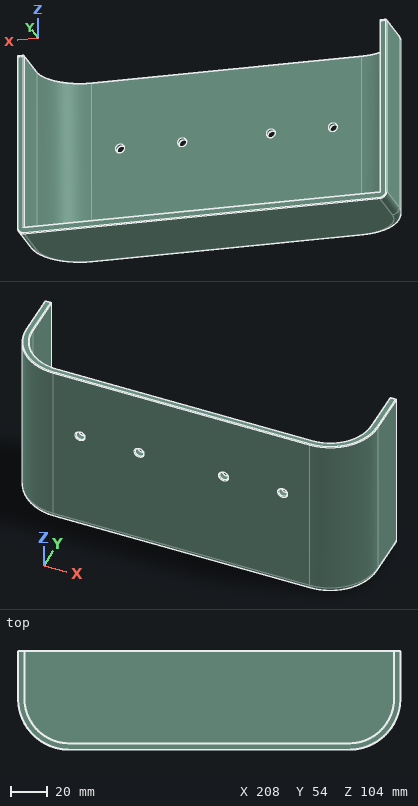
import cadquery as cq

length = 208.0
depth = 54.0
height = 104.0
wall = 4.0
corner_radius = 28.0
bottom_radius = wall
edge_break = 0.5

hole_diameter = 5.0
hole_drop = 40.0
hole_offsets = (25.0, 60.0)
countersink_diameter = hole_diameter + 2 * edge_break


def front_rounded_block(width, front_y, base_z, radius):
    """Block from front_y to the back and from base_z to the rim, with round front corners."""
    return (
        cq.Workplane("XY", origin=(0, front_y, base_z))
        .box(width, depth - front_y, height - base_z, centered=(True, False, False))
        .edges("|Z and <Y")
        .fillet(radius)
    )


def mounting_hole(x):
    """Through hole in the front wall with a small countersink on the outside."""
    front = cq.Workplane("XZ", origin=(x, 0, height - hole_drop))
    bore = front.circle(hole_diameter / 2).extrude(-wall)
    countersink = (
        front.circle(countersink_diameter / 2)
        .workplane(offset=-edge_break)
        .circle(hole_diameter / 2)
        .loft()
    )
    return bore.union(countersink)


outer = front_rounded_block(length, 0, 0, corner_radius)
outer = outer.faces("<Z").edges("not >Y").fillet(bottom_radius)

cavity = front_rounded_block(length - 2 * wall, wall, wall, corner_radius - wall)
tray = outer.cut(cavity)

tray = tray.faces(">Z").edges().chamfer(edge_break)
tray = tray.faces(">Y").edges().chamfer(edge_break)

for offset in hole_offsets:
    for x in (-offset, offset):
        tray = tray.cut(mounting_hole(x))

result = tray